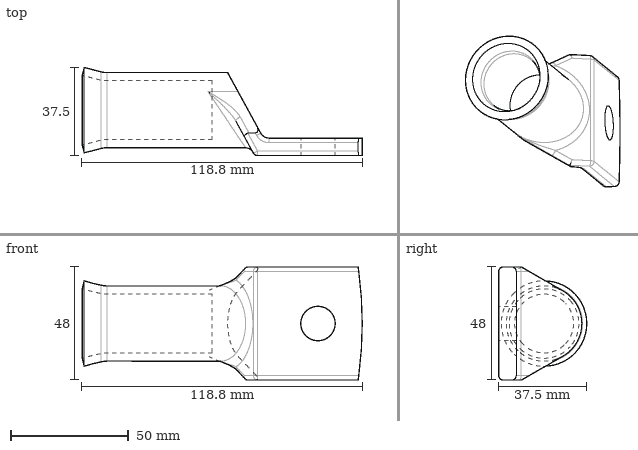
import cadquery as cq
import math

overall_length = 118.82
overall_height = 37.45

barrel_radius = 16.0
wall_thickness = 3.5
bore_depth = 55.0

flare_angle = math.radians(14.5)
flare_end = 10.5
flare_bend_radius = 10.0

palm_width = 48.0
palm_thickness = 7.5
palm_end_sagitta = 1.75
hole_diameter = 14.5
hole_center = 100.0

neck_angle = math.radians(61.3)
upper_neck_start = 61.7
neck_corner = 73.2
wing_angle = math.radians(30)

inner_bend_radius = 4.0
edge_radius = 2.0
root_radius = 3.5
wing_rounding_start = 54.0

bore_radius = barrel_radius - wall_thickness
half_width = palm_width / 2

bend_start_x = flare_end - flare_bend_radius * math.sin(flare_angle)
bend_start_radius = barrel_radius + flare_bend_radius * (1 - math.cos(flare_angle))
rim_x = wall_thickness * math.sin(flare_angle)
rim_radius = bend_start_radius + (bend_start_x - rim_x) * math.tan(flare_angle)

palm_bottom = rim_radius - overall_height
palm_top = palm_bottom + palm_thickness

wing_tangent_y = barrel_radius * math.sin(wing_angle)
wing_tangent_z = barrel_radius * math.cos(wing_angle)
wing_corner_y = wing_tangent_y - (half_width - wing_tangent_z) / math.tan(wing_angle)

plate_top = 2 * barrel_radius
tolerance = 0.01


def upper_neck_x(y):
    """X of the upper neck face at height y."""
    return upper_neck_start + (barrel_radius - y) / math.tan(neck_angle)


def lower_neck_x(y):
    """X of the lower neck face at height y."""
    return neck_corner - (y - palm_bottom) / math.tan(neck_angle)


def slab(x_start, x_end):
    """Block that covers the whole part between two X positions."""
    size = 2 * overall_height
    middle = (x_start + x_end) / 2
    return cq.Workplane("XY").box(x_end - x_start, size, palm_width + size).translate((middle, 0, 0))


def make_straight_barrel():
    """Solid round bar, cut off along the upper neck face."""
    outline = (
        cq.Workplane("XY")
        .moveTo(flare_end, -barrel_radius)
        .lineTo(flare_end, barrel_radius)
        .lineTo(upper_neck_x(barrel_radius), barrel_radius)
        .lineTo(upper_neck_x(-barrel_radius), -barrel_radius)
        .close()
        .extrude(barrel_radius, both=True)
    )
    return outline.intersect(cq.Workplane("YZ").circle(barrel_radius).extrude(overall_length))


def make_bent_plate():
    """Palm and slanted neck at full width, with sharp bends."""
    return (
        cq.Workplane("XY")
        .moveTo(lower_neck_x(plate_top), plate_top)
        .lineTo(upper_neck_x(plate_top), plate_top)
        .lineTo(upper_neck_x(palm_top), palm_top)
        .lineTo(overall_length, palm_top)
        .lineTo(overall_length, palm_bottom)
        .lineTo(neck_corner, palm_bottom)
        .close()
        .extrude(half_width, both=True)
    )


def make_wing_envelope():
    """Prism below the lines where the wings touch the barrel, bounded by the wing faces."""
    outline = [
        (palm_bottom, -half_width),
        (wing_corner_y, -half_width),
        (wing_tangent_y, -wing_tangent_z),
        (wing_tangent_y, wing_tangent_z),
        (wing_corner_y, half_width),
        (palm_bottom, half_width),
    ]
    return cq.Workplane("YZ").polyline(outline).close().extrude(overall_length)


def fillet_where(body, radius, condition):
    """Fillet the edges whose centre meets the condition."""
    edges = [edge for edge in body.edges().vals() if condition(edge, edge.Center())]
    return body.newObject(edges).fillet(radius)


def is_lower_edge(edge, center):
    """Edges that bound the palm underside and the lower neck face, and the curved wing edges."""
    at_palm_end = center.x > overall_length - tolerance
    at_split = center.x < wing_rounding_start + tolerance
    is_curved = edge.geomType() == "BSPLINE"
    on_palm = abs(center.y - palm_bottom) < tolerance
    on_neck = abs(center.x - lower_neck_x(center.y)) < tolerance
    on_curved_wing = is_curved and abs(center.z) > wing_tangent_z
    on_root_fillet = is_curved and abs(center.z) < tolerance
    return (on_palm or on_neck or on_curved_wing) and not (at_palm_end or at_split or on_root_fillet)


def make_blank():
    """Barrel, neck and palm joined and rounded, still without flare and holes."""
    barrel = make_straight_barrel()
    body = barrel.union(make_bent_plate())
    body = fillet_where(body, root_radius, lambda edge, center: edge.geomType() == "ELLIPSE")
    body = body.intersect(make_wing_envelope()).union(barrel)

    def is_inner_bend(edge, center):
        off_line = abs(center.y - palm_top) + abs(center.x - upper_neck_x(palm_top))
        return off_line < tolerance

    def is_upper_palm_edge(edge, center):
        on_side = abs(center.z) > half_width - tolerance
        return on_side and abs(center.y - palm_top) < tolerance

    body = fillet_where(body, inner_bend_radius, is_inner_bend)
    body = fillet_where(body, edge_radius, is_upper_palm_edge)

    plain = body.intersect(slab(0, wing_rounding_start))
    rounded = body.intersect(slab(wing_rounding_start, overall_length + tolerance))
    rounded = fillet_where(rounded, edge_radius, is_lower_edge)
    return plain.union(rounded)


def make_flare():
    """Conical mouth of constant wall thickness that bends into the straight barrel."""
    bore_bend_radius = flare_bend_radius + wall_thickness
    bend_center_radius = barrel_radius + flare_bend_radius

    def bend_point(radius, angle):
        """Point on a bend arc, turned by the angle from the straight barrel."""
        return (flare_end - radius * math.sin(angle), bend_center_radius - radius * math.cos(angle))

    half_angle = flare_angle / 2
    inner_rim_radius = rim_radius - wall_thickness * math.cos(flare_angle)
    return (
        cq.Workplane("XY")
        .moveTo(flare_end, bore_radius)
        .lineTo(flare_end, barrel_radius)
        .threePointArc(bend_point(flare_bend_radius, half_angle), bend_point(flare_bend_radius, flare_angle))
        .lineTo(rim_x, rim_radius)
        .lineTo(0, inner_rim_radius)
        .lineTo(*bend_point(bore_bend_radius, flare_angle))
        .threePointArc(bend_point(bore_bend_radius, half_angle), (flare_end, bore_radius))
        .close()
        .revolve(360, (0, 0, 0), (1, 0, 0))
    )


def make_bore():
    """Blind bore of the straight barrel."""
    return cq.Workplane("YZ").workplane(offset=flare_end).circle(bore_radius).extrude(bore_depth - flare_end)


def make_palm_hole():
    """Bolt hole through the palm."""
    return (
        cq.Workplane("XZ", origin=(hole_center, palm_top, 0))
        .circle(hole_diameter / 2)
        .extrude(palm_thickness)
    )


def make_palm_outline():
    """Full-height prism whose far end is the rounded palm end."""
    corner_x = overall_length - palm_end_sagitta
    return (
        cq.Workplane("XZ", origin=(0, overall_height, 0))
        .moveTo(0, -half_width)
        .lineTo(corner_x, -half_width)
        .threePointArc((overall_length, 0), (corner_x, half_width))
        .lineTo(0, half_width)
        .close()
        .extrude(2 * overall_height)
    )


lug = make_blank().intersect(make_palm_outline())
lug = lug.cut(make_bore()).cut(make_palm_hole())
result = lug.union(make_flare())